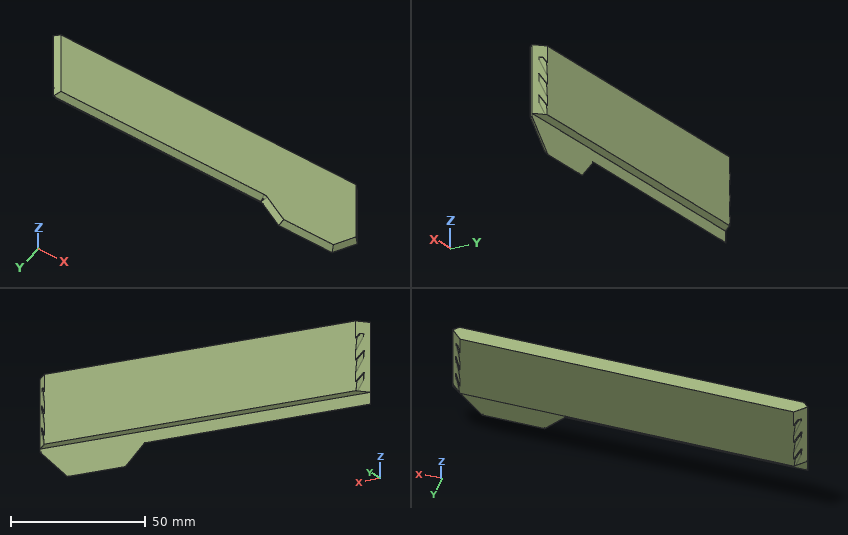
import cadquery as cq
import math

length = 139.0
height = 40.5
bevel_depth = 2.1
bevel_width = 2.1
pad_depth = 4.2
pad_height = 27.7

step_height = 32.4
tab_left = 103.0
corner_cut = 11.5

tooth_count = 3
tooth_pitch = 8.6
first_tooth_top = -2.9
tooth_trim_top = -4.9
tooth_start = 2.0
tooth_drop = 3.9
tooth_front_height = 2.9
tooth_rear_height = 5.3
tooth_front_rise = 0.3


def make_front_plate():
    """Bevelled plate, with the bevel left off the top edge."""
    tab_drop = height - step_height
    outline = [
        (0, bevel_width),
        (0, -step_height),
        (tab_left - tab_drop, -step_height),
        (tab_left, -height),
        (length - corner_cut, -height),
        (length, corner_cut - height),
        (length, bevel_width),
    ]
    taper = math.degrees(math.atan2(bevel_width, bevel_depth))
    plate = cq.Workplane("XZ").polyline(outline).close().extrude(bevel_depth, taper=taper)
    below_top = cq.Workplane("XY").box(length, bevel_depth, height, centered=False)
    return plate.intersect(below_top.translate((0, -bevel_depth, -height)))


def make_pad():
    """Rear pad whose ends slope inward toward the back."""
    section = [(0, 0), (length, 0), (length - pad_depth, pad_depth), (pad_depth, pad_depth)]
    return cq.Workplane("XY").polyline(section).close().extrude(-pad_height)


def tooth_section(y, top, tooth_height):
    """Triangular tooth section at depth y, standing out from the sloping end (where X = Y)."""
    rise = tooth_front_rise * tooth_height / tooth_front_height
    corners = [(y, y, top), (y - rise, y, top), (y, y, top - tooth_height)]
    return cq.Wire.makePolygon([cq.Vector(*corner) for corner in corners], close=True)


def make_teeth():
    """Row of teeth for the left end, trimmed to the band they occupy on the pad."""
    band_height = pad_height + tooth_trim_top
    band = cq.Workplane("XY").box(pad_depth, pad_depth, band_height, centered=False)
    band = band.translate((0, 0, -pad_height))
    teeth = cq.Workplane("XY")
    for index in range(tooth_count):
        top = first_tooth_top - index * tooth_pitch
        front = tooth_section(tooth_start, top, tooth_front_height)
        rear = tooth_section(pad_depth, top - tooth_drop, tooth_rear_height)
        tooth = cq.Workplane(cq.Solid.makeLoft([front, rear], True))
        teeth = teeth.add(tooth.intersect(band))
    return teeth


body = make_front_plate().union(make_pad())
for left_tooth in make_teeth().vals():
    right_tooth = left_tooth.mirror("YZ", (length / 2, 0, 0))
    body = body.union(cq.Workplane(left_tooth)).union(cq.Workplane(right_tooth))

result = body